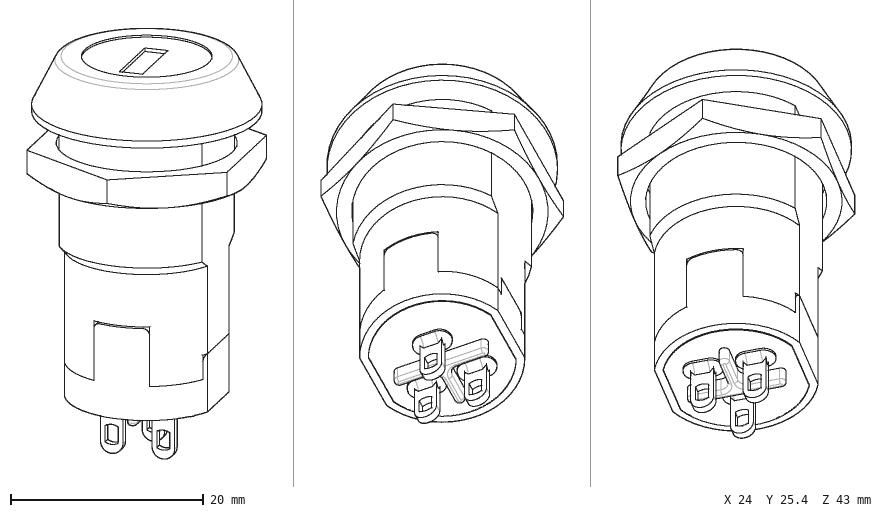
import cadquery as cq
import math


OVERALL_HEIGHT = 43.0
CUT_MARGIN = 0.45

BEZEL_RADIUS = 12.0
BEZEL_HEIGHT = 6.0
BEZEL_RIM_HEIGHT = 0.77
BEZEL_TOP_RADIUS = 9.37
BEZEL_EDGE_RADIUS = 0.75
BARREL_RADIUS = 9.4
BARREL_BOTTOM_Z = -14.05
BARREL_CHAMFER_HEIGHT = 1.0
BODY_RADIUS = 8.6
FLAT_DISTANCE = 7.85

FACE_RECESS_RADIUS = 6.8
FACE_RECESS_DEPTH = 0.2
KEYWAY_WIDTH = 2.55
KEYWAY_LENGTH = 8.1
KEYWAY_CENTER_Y = -1.0
KEYWAY_DEPTH = 0.4

NUT_ACROSS_CORNERS = 25.4
NUT_TOP_Z = -3.5
NUT_HEIGHT = 3.5
NUT_CHAMFER_HEIGHT = 0.9

CAP_TOP_Z = -27.35
CAP_BOTTOM_Z = -31.1
TAB_INNER_DISTANCE = 6.9
TAB_CORNER_RADIUS = 0.7
LONG_TAB_WIDTH = 6.1
LONG_NOTCH_TOP_Z = -20.8
LONG_TAB_GAP = 0.17
SHORT_NOTCH_TOP_Z = -24.7
LEFT_TAB_WIDTH = 5.1
RIGHT_TAB_WIDTH = 8.1
PAD_INSET = 0.9
PAD_HEIGHT = 0.15

BOSS_BOTTOM_Z = -33.05
BOSS_RIB_WIDTH = 1.08
BOSS_BAR_LENGTH = 10.6
BOSS_BACK_Y = 0.77
BOSS_FRONT_Y = -5.05
BOSS_INNER_RADIUS = 1.05
BOSS_EDGE_RADIUS = 0.4

TERMINAL_PITCH_X = 2.85
TERMINAL_ROW_Y = 2.55
TERMINAL_WIDTH = 2.5
TERMINAL_THICKNESS = 0.85
TERMINAL_TIP_Z = BEZEL_HEIGHT - OVERALL_HEIGHT
TERMINAL_TOP_Z = -30.1
EYE_WIDTH = 1.4
EYE_TOP_Z = -33.8
EYE_BOTTOM_Z = -36.0
EYE_END_RISE = 0.2
COLLAR_HALF_STRAIGHT = (TERMINAL_WIDTH - TERMINAL_THICKNESS) / 2
COLLAR_RIM_Z = -31.48
COLLAR_FLARE_RADIUS = 0.9
COLLAR_NECK_RADIUS = TERMINAL_THICKNESS / 2
COLLAR_RIM_RADIUS = COLLAR_NECK_RADIUS + COLLAR_FLARE_RADIUS

TERMINAL_PLACES = [
    (-TERMINAL_PITCH_X, -TERMINAL_ROW_Y),
    (0, TERMINAL_ROW_Y),
    (TERMINAL_PITCH_X, -TERMINAL_ROW_Y),
]


def box(x_range, y_range, z_range):
    """Box between two X, two Y and two Z values."""
    sizes = [high - low for low, high in (x_range, y_range, z_range)]
    return cq.Workplane("XY").box(*sizes, centered=False).translate((x_range[0], y_range[0], z_range[0]))


def flatted_cylinder(radius, flat_distance, bottom_z, top_z):
    """Cylinder on the lock axis with flats facing -X and +X."""
    cylinder = cq.Workplane("XY").workplane(offset=bottom_z).circle(radius).extrude(top_z - bottom_z)
    between_flats = box((-flat_distance, flat_distance), (-radius, radius), (bottom_z, top_z))
    return cylinder.intersect(between_flats)


def tab_blocks(long_top_z, short_top_z, corner_radius=0):
    """Four blocks at the rim for the cap's tabs, reaching past the outside of the body."""
    outer = BODY_RADIUS + CUT_MARGIN
    half_long = LONG_TAB_WIDTH / 2
    half_left = LEFT_TAB_WIDTH / 2
    half_right = RIGHT_TAB_WIDTH / 2
    long_z = (CAP_TOP_Z, long_top_z)
    short_z = (CAP_TOP_Z, short_top_z)
    front = box((-half_long, half_long), (-outer, -TAB_INNER_DISTANCE), long_z)
    back = box((-half_long, half_long), (TAB_INNER_DISTANCE, outer), long_z)
    left = box((-outer, -TAB_INNER_DISTANCE), (-half_left, half_left), short_z)
    right = box((TAB_INNER_DISTANCE, outer), (-half_right, half_right), short_z)
    if corner_radius:
        front, back = [tab.edges("|Y and >Z").fillet(corner_radius) for tab in (front, back)]
        left, right = [tab.edges("|X and >Z").fillet(corner_radius) for tab in (left, right)]
    return [front, back, left, right]


def make_bezel():
    """Conical flange with a short straight rim and a rounded top edge."""
    return (
        cq.Workplane("XZ")
        .lineTo(BEZEL_RADIUS, 0)
        .lineTo(BEZEL_RADIUS, BEZEL_RIM_HEIGHT)
        .lineTo(BEZEL_TOP_RADIUS, BEZEL_HEIGHT)
        .lineTo(0, BEZEL_HEIGHT)
        .close()
        .revolve(360, (0, 0), (0, 1))
        .faces(">Z")
        .edges()
        .fillet(BEZEL_EDGE_RADIUS)
    )


def make_housing():
    chamfer_bottom_z = BARREL_BOTTOM_Z - BARREL_CHAMFER_HEIGHT
    stem = (
        cq.Workplane("XZ")
        .lineTo(BARREL_RADIUS, 0)
        .lineTo(BARREL_RADIUS, BARREL_BOTTOM_Z)
        .lineTo(BODY_RADIUS, chamfer_bottom_z)
        .lineTo(BODY_RADIUS, CAP_TOP_Z)
        .lineTo(0, CAP_TOP_Z)
        .close()
        .revolve(360, (0, 0), (0, 1))
    )
    stem = stem.intersect(flatted_cylinder(BARREL_RADIUS, FLAT_DISTANCE, CAP_TOP_Z, 0))
    housing = stem.union(make_bezel())

    face_z = BEZEL_HEIGHT - FACE_RECESS_DEPTH
    recess = cq.Workplane("XY").workplane(offset=face_z).circle(FACE_RECESS_RADIUS).extrude(FACE_RECESS_DEPTH)
    keyway = (
        cq.Workplane("XY")
        .workplane(offset=face_z)
        .center(0, KEYWAY_CENTER_Y)
        .rect(KEYWAY_WIDTH, KEYWAY_LENGTH)
        .extrude(-KEYWAY_DEPTH)
    )
    housing = housing.cut(recess).cut(keyway)

    for notch in tab_blocks(LONG_NOTCH_TOP_Z, SHORT_NOTCH_TOP_Z):
        housing = housing.cut(notch)
    return housing


def make_nut():
    corner_radius = NUT_ACROSS_CORNERS / 2
    flat_radius = corner_radius * math.cos(math.pi / 6)
    bottom_z = NUT_TOP_Z - NUT_HEIGHT
    hexagon = (
        cq.Workplane("XY")
        .workplane(offset=bottom_z)
        .transformed(rotate=(0, 0, 90))
        .polygon(6, NUT_ACROSS_CORNERS)
        .extrude(NUT_HEIGHT)
    )
    turned_blank = (
        cq.Workplane("XZ")
        .moveTo(BARREL_RADIUS, bottom_z)
        .lineTo(flat_radius, bottom_z)
        .lineTo(corner_radius, bottom_z + NUT_CHAMFER_HEIGHT)
        .lineTo(corner_radius, NUT_TOP_Z)
        .lineTo(BARREL_RADIUS, NUT_TOP_Z)
        .close()
        .revolve(360, (0, 0), (0, 1))
    )
    return hexagon.intersect(turned_blank)


def make_boss():
    """T of two round-ended ribs with rounded inner corners and a rounded lower edge."""
    half_rib = BOSS_RIB_WIDTH / 2
    bar_y = BOSS_BACK_Y - half_rib
    stem_length = bar_y - BOSS_FRONT_Y + half_rib
    height = CAP_BOTTOM_Z - BOSS_BOTTOM_Z
    plane = cq.Workplane("XY").workplane(offset=BOSS_BOTTOM_Z)
    bar = plane.center(0, bar_y).slot2D(BOSS_BAR_LENGTH, BOSS_RIB_WIDTH).extrude(height)
    stem = (
        plane.center(0, bar_y + half_rib - stem_length / 2)
        .slot2D(stem_length, BOSS_RIB_WIDTH, 90)
        .extrude(height)
    )
    inner_corners = cq.selectors.BoxSelector(
        (-BOSS_RIB_WIDTH, bar_y - BOSS_RIB_WIDTH, BOSS_BOTTOM_Z),
        (BOSS_RIB_WIDTH, bar_y, CAP_BOTTOM_Z),
    )
    boss = bar.union(stem)
    boss = boss.edges("|Z").edges(inner_corners).fillet(BOSS_INNER_RADIUS)
    return boss.faces("<Z").edges().fillet(BOSS_EDGE_RADIUS)


def make_collar():
    """Oblong collar on the axis, with a concave flare that narrows downward."""
    neck_z = COLLAR_RIM_Z - COLLAR_FLARE_RADIUS
    flare_mid = (
        COLLAR_RIM_RADIUS - COLLAR_FLARE_RADIUS * math.sin(math.pi / 4),
        neck_z + COLLAR_FLARE_RADIUS * math.sin(math.pi / 4),
    )

    def half_profile(plane):
        return (
            cq.Workplane(plane)
            .moveTo(0, CAP_BOTTOM_Z)
            .lineTo(COLLAR_RIM_RADIUS, CAP_BOTTOM_Z)
            .lineTo(COLLAR_RIM_RADIUS, COLLAR_RIM_Z)
            .threePointArc(flare_mid, (COLLAR_NECK_RADIUS, neck_z))
            .lineTo(0, neck_z)
            .close()
        )

    half_side = half_profile("YZ").extrude(COLLAR_HALF_STRAIGHT, both=True)
    collar = half_side.union(half_side.mirror("XZ"))
    round_end = half_profile("XZ").revolve(360, (0, 0), (0, 1))
    for end_x in (-COLLAR_HALF_STRAIGHT, COLLAR_HALF_STRAIGHT):
        collar = collar.union(round_end.translate((end_x, 0, 0)))
    return collar


def make_terminal(x, y):
    """Flat solder lug with a round tip and an eye."""
    half_width = TERMINAL_WIDTH / 2
    half_eye = EYE_WIDTH / 2
    tip_center_z = TERMINAL_TIP_Z + half_width
    eye_side_top_z = EYE_TOP_Z - EYE_END_RISE
    eye_side_bottom_z = EYE_BOTTOM_Z + EYE_END_RISE
    blade = (
        cq.Workplane("XZ")
        .moveTo(-half_width, TERMINAL_TOP_Z)
        .lineTo(-half_width, tip_center_z)
        .threePointArc((0, TERMINAL_TIP_Z), (half_width, tip_center_z))
        .lineTo(half_width, TERMINAL_TOP_Z)
        .close()
        .extrude(TERMINAL_THICKNESS / 2, both=True)
    )
    eye = (
        cq.Workplane("XZ")
        .moveTo(-half_eye, eye_side_top_z)
        .lineTo(-half_eye, eye_side_bottom_z)
        .threePointArc((0, EYE_BOTTOM_Z), (half_eye, eye_side_bottom_z))
        .lineTo(half_eye, eye_side_top_z)
        .threePointArc((0, EYE_TOP_Z), (-half_eye, eye_side_top_z))
        .close()
        .extrude(TERMINAL_THICKNESS, both=True)
    )
    return blade.cut(eye).translate((x, y, 0))


def make_cap(terminals):
    cap = flatted_cylinder(BODY_RADIUS, FLAT_DISTANCE, CAP_BOTTOM_Z, CAP_TOP_Z)

    body_outline = flatted_cylinder(BODY_RADIUS, FLAT_DISTANCE, CAP_TOP_Z, LONG_NOTCH_TOP_Z)
    tabs = tab_blocks(LONG_NOTCH_TOP_Z - LONG_TAB_GAP, SHORT_NOTCH_TOP_Z, TAB_CORNER_RADIUS)
    for tab in tabs:
        cap = cap.union(tab.intersect(body_outline))

    pad_z = CAP_BOTTOM_Z - PAD_HEIGHT
    pad = flatted_cylinder(BODY_RADIUS - PAD_INSET, FLAT_DISTANCE - PAD_INSET, pad_z, CAP_BOTTOM_Z)
    cap = cap.union(pad).union(make_boss())
    for x, y in TERMINAL_PLACES:
        cap = cap.union(make_collar().translate((x, y, 0)))

    for terminal in terminals:
        cap = cap.cut(terminal)
    return cap


housing = make_housing()
nut = make_nut()
terminals = [make_terminal(x, y) for x, y in TERMINAL_PLACES]
cap = make_cap(terminals)

result = cq.Compound.makeCompound(
    [body.solids().val() for body in (housing, nut, cap, *terminals)]
)